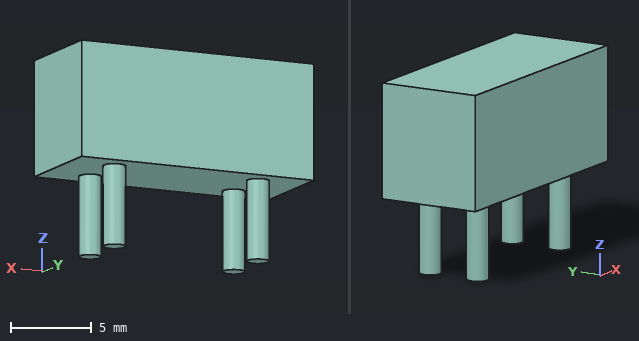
import cadquery as cq

housing_length = 16.0
housing_width = 6.74
overall_height = 12.46
pin_length = 5.09
housing_height = overall_height - pin_length

pin_diameter = 1.4
pin_pitch_x = 9.89
pin_pitch_y = 3.4


def make_housing():
    """Plain block standing on the plane Z = 0."""
    return cq.Workplane("XY").box(
        housing_length, housing_width, housing_height, centered=(True, True, False)
    )


def make_pin(x, y):
    """Round pin hanging down from the underside of the housing."""
    return cq.Workplane("XY").center(x, y).circle(pin_diameter / 2).extrude(-pin_length)


housing = make_housing()

pins = []
for side_x in (-1, 1):
    for side_y in (-1, 1):
        pin = make_pin(side_x * pin_pitch_x / 2, side_y * pin_pitch_y / 2)
        pins.append(pin.val())

result = cq.Compound.makeCompound([housing.val(), *pins])